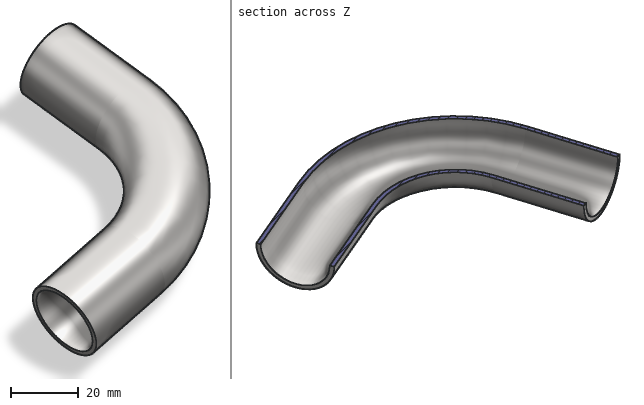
import cadquery as cq
import math

overall_length = 80.8
outer_diameter = 25.4
inner_diameter = 22.4
leg_length = 30.0

bend_radius = overall_length - leg_length - outer_diameter / 2

bend_midpoint = bend_radius * math.cos(math.radians(45))
centreline = (
    cq.Workplane("XY")
    .moveTo(-leg_length, bend_radius)
    .lineTo(0, bend_radius)
    .threePointArc((bend_midpoint, bend_midpoint), (bend_radius, 0))
    .lineTo(bend_radius, -leg_length)
)

result = (
    cq.Workplane("YZ", origin=(-leg_length, bend_radius, 0))
    .circle(outer_diameter / 2)
    .circle(inner_diameter / 2)
    .sweep(centreline)
)